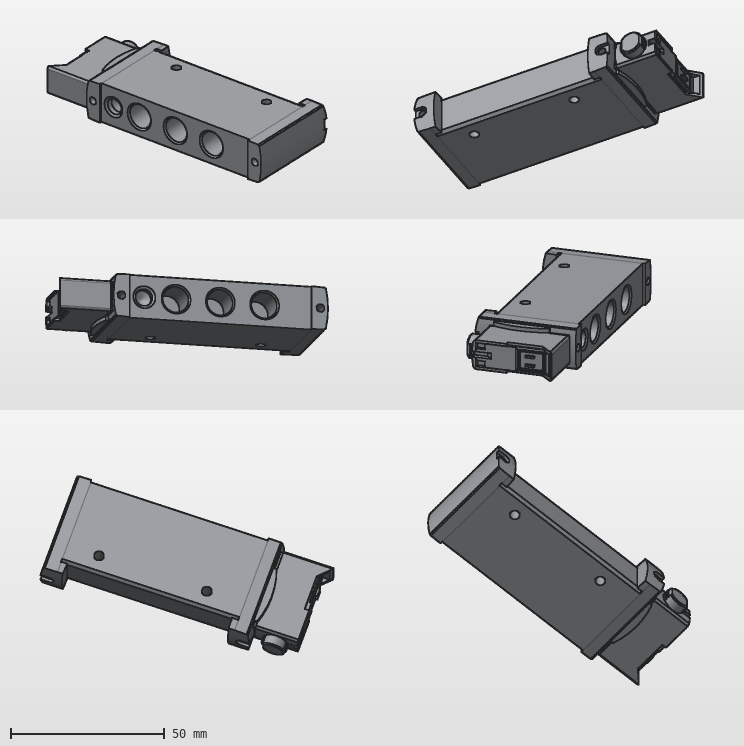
import cadquery as cq


LENGTH = 89.45
WIDTH = 34.8
HEIGHT = 14.4
HALF_HEIGHT = HEIGHT / 2

BODY_Y0 = 0.8
BODY_Y1 = 30.0
BODY_CHAMFER = 1.1
MOUNT_HOLE_DIAMETER = 3.2
MOUNT_HOLE_XS = (35.9, 73.0)
MOUNT_HOLE_Y = 24.0

PORT_DIAMETER = 8.6
PORT_MOUTH_DIAMETER = 9.75
PORT_MOUTH_CHAMFER = (PORT_MOUTH_DIAMETER - PORT_DIAMETER) / 2
PORT_DEPTH = 12.5
PORT_PITCH = 14.85
MIDDLE_PORT_X = 53.5
PILOT_X = 28.0
PILOT_DIAMETER = 5.6
PILOT_MOUTH_DIAMETER = 7.4
PILOT_MOUTH_DEPTH = 0.5
PILOT_DEPTH = 2.6
PILOT_POINT_DEPTH = 1.6

CAP_LENGTH = 5.5
CAP_CROWN = 0.7
CAP_EDGE_LENGTH = 0.5
CAP_EDGE_DROP = 0.4
CAP_TAPER_DROP = 0.2
CAP_SHOULDER_Y = 33.7
LEFT_CAP_X = 17.5
CAP_ARM_TIP = 7.3
CAP_ARM_ROOT = 7.6
CAP_HOLE_DIAMETER = 2.6
CAP_HOLE_INSET = 2.6
CAP_SLOT_WIDTH = 3.9
CAP_SLOT_DEPTH = 1.2
BODY_X0 = LEFT_CAP_X + CAP_LENGTH
BODY_X1 = LENGTH - CAP_LENGTH

COIL_X0 = 2.5
COIL_X1 = 17.1
COIL_Y0 = 1.8
COIL_Y1 = 30.0
COIL_CROWN_Y = 30.3
COIL_HEIGHT = 10.1
COIL_HALF_HEIGHT = COIL_HEIGHT / 2
COIL_EDGE = 0.8
BEAK_THICKNESS = 0.6
BEAK_CORNER_RADIUS = 1.2
STEP_X = 4.1
STEP_Y0 = 6.5
STEP_Y1 = 18.5
NECK_Y0 = 2.3
NECK_Y1 = 29.7
NECK_HALF_HEIGHT = 4.8
MOUNT_END_X = LEFT_CAP_X + CAP_LENGTH / 2

FACE_X = 2.8
FACE_HALF_HEIGHT = 4.1
FACE_Y0 = 5.1
FACE_Y1 = 29.0
BEAK_POCKET_Y0 = 3.2
BEAK_POCKET_HALF_HEIGHT = 3.85
BEAK_POCKET_X = 3.2
SOCKET_X = 2.95
SOCKET_Y0 = 5.5
SOCKET_Y1 = 15.4
SOCKET_CHAMFER = 0.5
GROOVE_Y0 = 5.7
GROOVE_Y1 = 14.7
GROOVE_HALF_HEIGHT = 3.3
PAD_Y0 = 6.0
PAD_Y1 = 13.9
PAD_HALF_HEIGHT = 2.9
GROOVE_DEPTH = 0.9
GROOVE_CORNER_RADIUS = 0.45
PIN_X0 = 2.1
PIN_Y0 = 8.9
PIN_Y1 = 11.8
PIN_Z = 1.5
PIN_THICKNESS = 0.6
WINDOW_Y0 = 25.9
WINDOW_Z0 = 2.1
WINDOW_DEPTH = 1.3
CLIP_SLOT_HEIGHT = 2.0
CLIP_SLOT_Y = 25.8
CLIP_SLOT_DEPTH = 2.1

FLANGE_X0 = 15.5
FLANGE_Y0 = 8.95
FLANGE_Y1 = 28.1
FLANGE_HALF_HEIGHT = 6.4

KNOB_X = 9.8
KNOB_DIAMETER = 8.1
KNOB_RIM_DIAMETER = 8.6
KNOB_TOP_Y = 33.5
KNOB_TOP_CHAMFER = 0.45
KNOB_BASE_Y = 31.0
KNOB_FLAT_HALF_WIDTH = 3.8
KNOB_FLAT_TOP_HALF_WIDTH = 3.2
KNOB_FLAT_SLOPE_Y = 32.4
KNOB_FLAT_HEIGHT = 4.1
BARB_Y0 = 31.8
BARB_Y1 = 32.3


def block(x0, x1, y0, y1, z0, z1):
    """Box given by its limits along each axis."""
    return cq.Workplane("XY").box(x1 - x0, y1 - y0, z1 - z0, centered=False).translate((x0, y0, z0))


def centred_block(x0, x1, y0, y1, half_height):
    """Box that is symmetric about Z = 0."""
    return block(x0, x1, y0, y1, -half_height, half_height)


def y_cylinder(x, diameter, y0, y1):
    """Cylinder along +Y from y0 to y1, centred on Z = 0."""
    start = cq.Vector(x, y0, 0)
    return cq.Workplane(cq.Solid.makeCylinder(diameter / 2, y1 - y0, start, cq.Vector(0, 1, 0)))


def y_cone(x, start_diameter, end_diameter, y0, y1):
    """Cone along +Y from y0 to y1, centred on Z = 0."""
    start = cq.Vector(x, y0, 0)
    cone = cq.Solid.makeCone(start_diameter / 2, end_diameter / 2, y1 - y0, start, cq.Vector(0, 1, 0))
    return cq.Workplane(cone)


def make_body():
    """Body block with mounting holes along Z and ports in its -Y face."""
    body = centred_block(BODY_X0, BODY_X1, BODY_Y0, BODY_Y1, HALF_HEIGHT)
    body = body.faces(">Y").edges("|X").chamfer(BODY_CHAMFER)
    for x in MOUNT_HOLE_XS:
        hole = cq.Workplane("XY").center(x, MOUNT_HOLE_Y).circle(MOUNT_HOLE_DIAMETER / 2)
        body = body.cut(hole.extrude(HEIGHT, both=True))
    for step in (-1, 0, 1):
        x = MIDDLE_PORT_X + step * PORT_PITCH
        mouth_end = BODY_Y0 + PORT_MOUTH_CHAMFER
        body = body.cut(y_cylinder(x, PORT_DIAMETER, BODY_Y0, BODY_Y0 + PORT_DEPTH))
        body = body.cut(y_cone(x, PORT_MOUTH_DIAMETER, PORT_DIAMETER, BODY_Y0, mouth_end))
    return body.cut(pilot_port())


def pilot_port():
    """Small drilled port with a tapered mouth and a conical bottom."""
    bottom = BODY_Y0 + PILOT_DEPTH
    port = y_cylinder(PILOT_X, PILOT_DIAMETER, BODY_Y0, bottom)
    mouth_end = BODY_Y0 + PILOT_MOUTH_DEPTH
    port = port.union(y_cone(PILOT_X, PILOT_MOUTH_DIAMETER, PILOT_DIAMETER, BODY_Y0, mouth_end))
    return port.union(y_cone(PILOT_X, PILOT_DIAMETER, 0, bottom, bottom + PILOT_POINT_DEPTH))


def make_cap():
    """End cap with its crowned outer face toward -X and the crown at X = 0."""
    edge_x = CAP_CROWN + CAP_EDGE_LENGTH
    taper_z = HALF_HEIGHT - CAP_TAPER_DROP
    edge_z = taper_z - CAP_EDGE_DROP
    side = (
        cq.Workplane("XZ")
        .moveTo(CAP_ARM_ROOT, -HALF_HEIGHT)
        .lineTo(CAP_LENGTH, -HALF_HEIGHT)
        .lineTo(edge_x, -taper_z)
        .lineTo(CAP_CROWN, -edge_z)
        .threePointArc((0, 0), (CAP_CROWN, edge_z))
        .lineTo(edge_x, taper_z)
        .lineTo(CAP_LENGTH, HALF_HEIGHT)
        .lineTo(CAP_ARM_ROOT, HALF_HEIGHT)
        .close()
        .extrude(-WIDTH)
    )
    crowned_end = (
        cq.Workplane("YZ")
        .moveTo(0, -HALF_HEIGHT)
        .lineTo(CAP_SHOULDER_Y, -HALF_HEIGHT)
        .threePointArc((WIDTH, 0), (CAP_SHOULDER_Y, HALF_HEIGHT))
        .lineTo(0, HALF_HEIGHT)
        .close()
        .extrude(CAP_ARM_ROOT)
    )
    plan = (
        cq.Workplane("XY")
        .polyline([
            (0, 0),
            (CAP_LENGTH, 0),
            (CAP_LENGTH, BODY_Y1),
            (CAP_ARM_ROOT, BODY_Y1),
            (CAP_ARM_TIP, WIDTH),
            (0, WIDTH),
        ])
        .close()
        .extrude(HALF_HEIGHT, both=True)
    )
    cap = side.intersect(crowned_end).intersect(plan)
    slot_floor = WIDTH - CAP_SLOT_DEPTH
    slot = centred_block(0, CAP_HOLE_INSET, slot_floor, WIDTH, CAP_SLOT_WIDTH / 2)
    slot = slot.union(y_cylinder(CAP_HOLE_INSET, CAP_SLOT_WIDTH, slot_floor, WIDTH))
    return cap.cut(slot).cut(y_cylinder(CAP_HOLE_INSET, CAP_HOLE_DIAMETER, 0, WIDTH))


def make_coil():
    """Coil housing with a pointed beak along its -Y edge."""
    beak_y = COIL_Y0 + BEAK_THICKNESS
    edge_z = COIL_HALF_HEIGHT - COIL_EDGE
    section = (
        cq.Workplane("YZ")
        .moveTo(COIL_Y0, -edge_z)
        .radiusArc((beak_y, -COIL_HALF_HEIGHT), -BEAK_CORNER_RADIUS)
        .lineTo(COIL_Y1 - COIL_EDGE, -COIL_HALF_HEIGHT)
        .lineTo(COIL_Y1, -edge_z)
        .threePointArc((COIL_CROWN_Y, 0), (COIL_Y1, edge_z))
        .lineTo(COIL_Y1 - COIL_EDGE, COIL_HALF_HEIGHT)
        .lineTo(beak_y, COIL_HALF_HEIGHT)
        .radiusArc((COIL_Y0, edge_z), -BEAK_CORNER_RADIUS)
        .close()
        .extrude(COIL_X1)
    )
    plan = (
        cq.Workplane("XY")
        .polyline([
            (0, COIL_Y0),
            (COIL_X1, COIL_Y0),
            (COIL_X1, COIL_CROWN_Y),
            (COIL_X0, COIL_CROWN_Y),
            (COIL_X0, STEP_Y1),
            (STEP_X, STEP_Y1),
            (STEP_X, STEP_Y0),
            (0, beak_y),
        ])
        .close()
        .extrude(HALF_HEIGHT, both=True)
    )
    coil = section.intersect(plan)
    coil = coil.union(centred_block(FACE_X, STEP_X, FACE_Y0, STEP_Y1, FACE_HALF_HEIGHT))
    coil = coil.cut(centred_block(COIL_X0, FACE_X, FACE_Y0, FACE_Y1, FACE_HALF_HEIGHT))
    pocket = centred_block(0, BEAK_POCKET_X, BEAK_POCKET_Y0, FACE_Y0, BEAK_POCKET_HALF_HEIGHT)
    return cut_connector(cut_clip(coil.cut(pocket)))


def cut_clip(coil):
    """Clip slot with a ramped end, between two rectangular windows."""
    slot = (
        cq.Workplane("XY")
        .polyline([
            (COIL_X0, CLIP_SLOT_Y - CLIP_SLOT_DEPTH),
            (FACE_X, CLIP_SLOT_Y - CLIP_SLOT_DEPTH),
            (FACE_X + CLIP_SLOT_DEPTH, CLIP_SLOT_Y),
            (FACE_X + CLIP_SLOT_DEPTH, COIL_CROWN_Y),
            (COIL_X0, COIL_CROWN_Y),
        ])
        .close()
        .extrude(CLIP_SLOT_HEIGHT / 2, both=True)
    )
    coil = coil.cut(slot)
    for z0, z1 in ((WINDOW_Z0, FACE_HALF_HEIGHT), (-FACE_HALF_HEIGHT, -WINDOW_Z0)):
        coil = coil.cut(block(FACE_X, FACE_X + WINDOW_DEPTH, WINDOW_Y0, FACE_Y1, z0, z1))
    return coil


def cut_connector(coil):
    """Connector with bevelled long edges, a groove around a pad, and two pins."""
    coil = coil.cut(centred_block(FACE_X, SOCKET_X, FACE_Y0, SOCKET_Y1, FACE_HALF_HEIGHT))
    bevel = (
        cq.Workplane("XZ", origin=(0, SOCKET_Y0, 0))
        .polyline([
            (SOCKET_X, FACE_HALF_HEIGHT),
            (SOCKET_X, FACE_HALF_HEIGHT - SOCKET_CHAMFER),
            (SOCKET_X + SOCKET_CHAMFER, FACE_HALF_HEIGHT),
        ])
        .close()
        .extrude(SOCKET_Y0 - SOCKET_Y1)
    )
    coil = coil.cut(bevel).cut(bevel.mirror("XY"))
    groove_floor = SOCKET_X + GROOVE_DEPTH
    groove = centred_block(SOCKET_X, groove_floor, GROOVE_Y0, GROOVE_Y1, GROOVE_HALF_HEIGHT)
    pad = centred_block(SOCKET_X, groove_floor, PAD_Y0, PAD_Y1, PAD_HALF_HEIGHT)
    groove = groove.edges("|X").fillet(GROOVE_CORNER_RADIUS)
    pad = pad.edges("|X").fillet(GROOVE_CORNER_RADIUS)
    coil = coil.cut(groove.cut(pad))
    for z in (-PIN_Z, PIN_Z):
        z0 = z - PIN_THICKNESS / 2
        coil = coil.union(block(PIN_X0, SOCKET_X, PIN_Y0, PIN_Y1, z0, z0 + PIN_THICKNESS))
    return coil


def make_neck():
    """Slightly smaller section that joins the coil to the cap."""
    return centred_block(COIL_X1, MOUNT_END_X, NECK_Y0, NECK_Y1, NECK_HALF_HEIGHT)


def make_flanges():
    """Both flanges as one plate; the coil and neck fill the space between them."""
    return (
        cq.Workplane("XY")
        .moveTo(MOUNT_END_X, FLANGE_Y0)
        .lineTo(COIL_X1, FLANGE_Y0)
        .threePointArc((FLANGE_X0, (FLANGE_Y0 + FLANGE_Y1) / 2), (COIL_X1, FLANGE_Y1))
        .lineTo(MOUNT_END_X, FLANGE_Y1)
        .close()
        .extrude(FLANGE_HALF_HEIGHT, both=True)
    )


def make_knob():
    """Round knob; its -X and +X sides each have a flat with a foot below and a barb across it."""
    root_y = COIL_Y1 - COIL_EDGE
    knob = y_cylinder(KNOB_X, KNOB_DIAMETER, root_y, KNOB_TOP_Y)
    knob = knob.faces(">Y").chamfer(KNOB_TOP_CHAMFER)
    flat = (
        cq.Workplane("XY")
        .polyline([
            (KNOB_FLAT_HALF_WIDTH, KNOB_BASE_Y),
            (KNOB_FLAT_HALF_WIDTH, KNOB_FLAT_SLOPE_Y),
            (KNOB_FLAT_TOP_HALF_WIDTH, KNOB_TOP_Y),
            (KNOB_RIM_DIAMETER / 2, KNOB_TOP_Y),
            (KNOB_RIM_DIAMETER / 2, KNOB_BASE_Y),
        ])
        .close()
        .extrude(KNOB_FLAT_HEIGHT / 2, both=True)
    )
    for side in (flat, flat.mirror("YZ")):
        knob = knob.cut(side.translate((KNOB_X, 0, 0)))
    for y0, y1 in ((root_y, KNOB_BASE_Y), (BARB_Y0, BARB_Y1)):
        barbs = y_cylinder(KNOB_X, KNOB_RIM_DIAMETER, y0, y1)
        barb_limits = centred_block(COIL_X0, COIL_X1, y0, y1, KNOB_FLAT_HEIGHT / 2)
        knob = knob.union(barbs.intersect(barb_limits))
    return knob


cap = make_cap()
left_cap = cap.translate((LEFT_CAP_X, 0, 0))
right_cap = cap.mirror("YZ").translate((LENGTH, 0, 0))
coil_mount = make_neck().union(make_flanges())
coil_mount = coil_mount.cut(y_cylinder(LEFT_CAP_X + CAP_HOLE_INSET, CAP_HOLE_DIAMETER, 0, WIDTH))

result = make_body()
for piece in (left_cap, right_cap, coil_mount, make_coil(), make_knob()):
    result = result.union(piece)
result = cq.Workplane(result.solids().val())